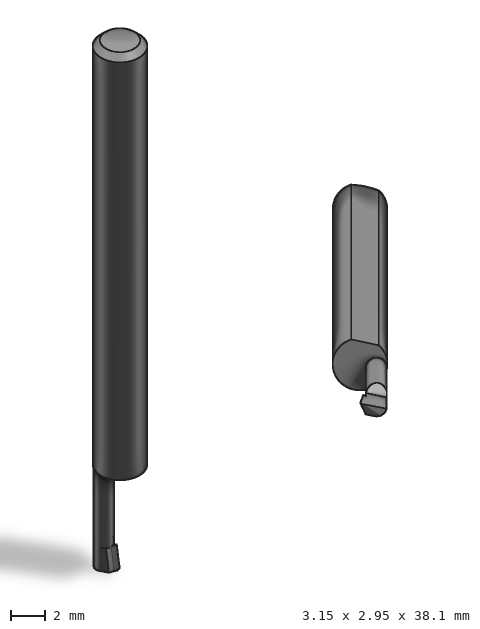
import cadquery as cq

total_length = 38.1
shank_diameter = 3.15
shank_radius = shank_diameter / 2
shank_bottom = 7.62
shank_chamfer = 0.42
width_across_flat = 2.95

neck_diameter = 1.22
neck_radius = neck_diameter / 2
neck_x = neck_radius - shank_radius

runout_low = 2.3
runout_rise = 0.45

head_top = 1.8
edge_x = 0.0
edge_lean = 0.2
relief_middle_x = -0.25
relief_heel_x = -0.45
nose_x = -0.15
nose_height = 0.1
end_relief = 0.1


def make_shank():
    shank = (
        cq.Workplane("XY", origin=(0, 0, shank_bottom))
        .circle(shank_radius)
        .extrude(total_length - shank_bottom)
        .faces(">Z")
        .chamfer(shank_chamfer)
    )
    keep = cq.Workplane("XY").box(
        shank_diameter, width_across_flat, total_length, centered=(True, False, False)
    )
    return shank.intersect(keep.translate((0, -shank_radius, 0)))


def make_neck():
    neck = cq.Workplane("XY").center(neck_x, 0).circle(neck_radius).extrude(shank_bottom)
    rake_cut = (
        cq.Workplane("YZ", origin=(-shank_radius, 0, 0))
        .polyline([
            (0, 0),
            (neck_radius, 0),
            (neck_radius, runout_low + runout_rise),
            (0, runout_low),
        ])
        .close()
        .extrude(neck_diameter)
    )
    return neck.cut(rake_cut)


def head_section(lean):
    """Half section of the head, its cutting side moved toward -X by lean."""
    return [
        (neck_x, 0),
        (edge_x - lean, 0),
        (relief_middle_x - lean, -neck_radius / 2),
        (relief_heel_x - lean, -neck_radius),
        (neck_x, -neck_radius),
    ]


def make_head():
    return (
        cq.Workplane("XY")
        .polyline(head_section(0))
        .close()
        .workplane(offset=head_top)
        .polyline(head_section(edge_lean))
        .close()
        .loft(ruled=True)
    )


def make_end_cutter():
    """Material under the tip that is removed so only the nose reaches the lowest point."""
    side_profile = [
        (-shank_radius, end_relief),
        (nose_x, 0),
        (edge_x, nose_height),
        (edge_x, -end_relief),
        (-shank_radius, -end_relief),
    ]
    nose_cut = cq.Workplane("XZ").polyline(side_profile).close().extrude(neck_radius)
    heel_cut = (
        cq.Workplane("YZ", origin=(-shank_radius, 0, 0))
        .polyline([(0, 0), (-neck_radius, end_relief), (-neck_radius, 0)])
        .close()
        .extrude(shank_diameter)
    )
    return nose_cut.union(heel_cut)


tool_tip = make_neck().union(make_head()).cut(make_end_cutter())
result = make_shank().union(tool_tip)